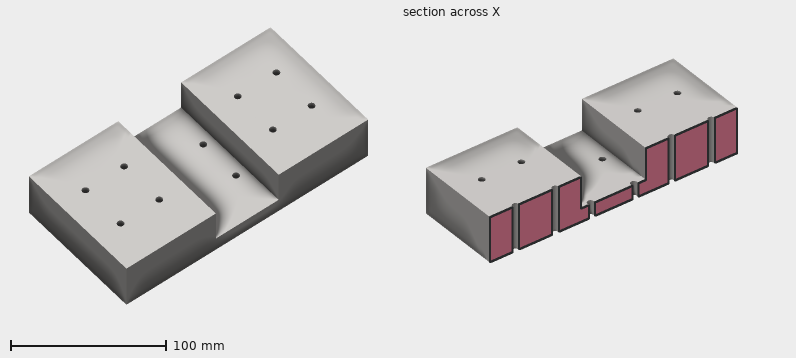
import cadquery as cq

width = 100.0
length = 200.0
height = 36.0

channel_length = 52.0
floor_thickness = 11.0

hole_diameter = 5.0
block_hole_spacing_x = 36.0
block_hole_spacing_y = 32.0
floor_hole_spacing_x = 33.5
floor_hole_spacing_y = 35.0

block_center_y = (length + channel_length) / 4


def hole_group(center_y, spacing_x, spacing_y):
    """Four vertical cutters in a rectangle centred on X = 0."""
    return (
        cq.Workplane("XY")
        .center(0, center_y)
        .rect(spacing_x, spacing_y, forConstruction=True)
        .vertices()
        .circle(hole_diameter / 2)
        .extrude(height)
    )


body = cq.Workplane("XY").box(width, length, height, centered=(True, True, False))

channel = (
    cq.Workplane("XY")
    .workplane(offset=floor_thickness)
    .rect(width, channel_length)
    .extrude(height - floor_thickness)
)

result = body.cut(channel)
for center_y in (-block_center_y, block_center_y):
    result = result.cut(hole_group(center_y, block_hole_spacing_x, block_hole_spacing_y))
result = result.cut(hole_group(0, floor_hole_spacing_x, floor_hole_spacing_y))